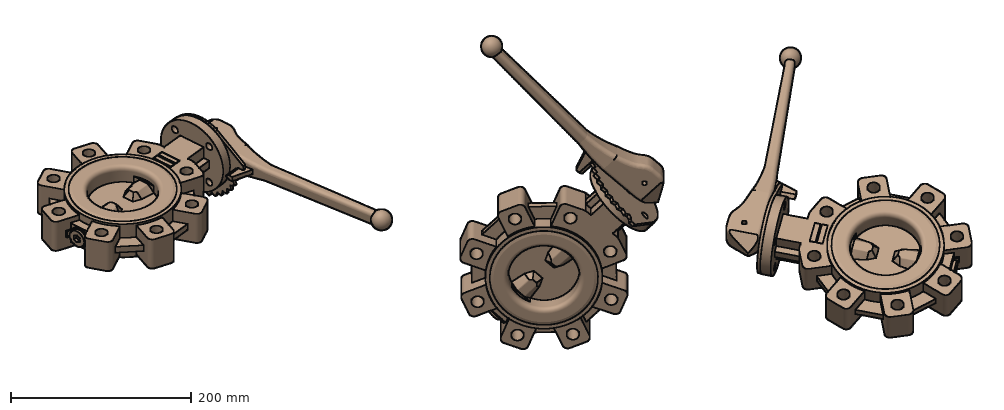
import cadquery as cq
import math


lug_count = 8
lug_angle = 360 / lug_count
bolt_circle_radius = 80.25
bolt_hole_diameter = 14.0
lug_height = 40.5
lug_half_width = 16.25
lug_outer_distance = 95.32
lug_corner_radius = 6.0
web_flat_distance = 80.5
web_height = 8.2
collar_diameter = 130
collar_height = 46.2
seat_base_diameter = 120.0
seat_top_diameter = 112.0
seat_height = 48.5
seat_bevel = 1.0
bore_diameter = 79.0
bore_mouth_diameter = 90.0

disc_height = 7.5
hub_crest_height = 12.0
hub_crest_half_width = 5.8
hub_root_half_width = 14.7
hub_shoulder_half_width = 11.5
hub_nose_half_width = 7
hub_crest_nose_half_width = 3.0
hub_root_nose = 9.2
hub_root_shoulder = 18.8
hub_crest_nose = 14.7
hub_crest_shoulder = 17.8
hub_crest_fillet = 2.0
bore_pad_distance = 36.8
bore_pad_height = 26.0

neck_width = 49.5
neck_core_width = 34.0
neck_wing_height = 10.3
neck_block_end = 92.8
label_bar_width = 25.3
label_bar_length = 6.5
label_bar_raise = 0.7
label_bar_starts = (68.8, 77.0)
flange_diameter = 90.0
flange_start = 120.5
flange_end = 132.5
flange_bolt_circle = 69.8
flange_hole_diameter = 9.0

plate_end = 136.2
plate_diameter = 89
sector_axis_angle = -45
notch_count = 10
notch_pitch = 10
notch_root_radius = 52.5
notch_tip_radius = 56.8
shoulder_x = 56.0
shoulder_z = 3.25
sector_end_x = 63.85
sector_end_z = 9.2
side_tangent_angle = 98.5

plug_block_width = 26.0
plug_block_end = 75.0
plug_collar_diameter = 24
plug_collar_length = 1.0
plug_diameter = 21.0
plug_end = 79.7
socket_corner_diameter = 10.0
socket_depth = 4.0

stem_diameter = 9.0
lever_underside = 139.3
lever_crown = 179.85
lever_half_thickness = 14.0
grip_half_thickness = 8.73
lever_tip_x = -32.2
lever_tip_y = 149.2
lever_tip_half_thickness = 3.0
nose_root_x = -12.5
grip_start_x = 85.0
grip_start_top = 157.5
grip_start_bottom = 142.7
grip_end_x = 231.0
grip_end_top = 167.5
grip_end_bottom = 156.5
lever_edge_fillet = 4.5
nose_top_x = -17
nose_top_y = 173.5
crown_start_x = -5.8
crown_end_x = 4.5
hump_x = 21.0
hump_y = 172.5
head_end_x = 45.2
head_end_top = 163.5
head_end_direction = (1, -0.3)
underside_start_x = -4.5
throat_x = 63.5
throat_top = 159.5
throat_bottom = 140.0
throat_half_thickness = 11.3
lever_hole_diameter = 5.0
lever_hole_y = 161
ball_diameter = 24
ball_x = 237.7
ball_y = 163.3

latch_nose_x = notch_root_radius
latch_shoulder_x = 57.0
latch_half_width = 3.0
latch_foot_y = 115.7
latch_foot_x = 62.0
latch_root_x = 72.5
latch_root_y = 145.5



def flow_cylinder(diameter, height):
    """Cylinder on the flow axis, centred on the mid plane."""
    return cq.Workplane("XY").circle(diameter / 2).extrude(height / 2, both=True)


def stem_cylinder(diameter, start_y, end_y):
    """Cylinder on the stem axis between two Y positions."""
    return stem_plane(start_y).circle(diameter / 2).extrude(start_y - end_y)


def stem_plane(y):
    """Plane across the stem axis: local x is X, local y is Z, normal is -Y."""
    return cq.Workplane("XZ", origin=(0, y, 0))


def block(width, start_y, end_y, height):
    """Box centred on X and Z between two Y positions."""
    return cq.Workplane("XY").box(width, end_y - start_y, height).translate((0, (start_y + end_y) / 2, 0))


def polar(radius, degrees):
    angle = math.radians(degrees)
    return radius * math.cos(angle), radius * math.sin(angle)




def make_lugs():
    lug = (
        cq.Workplane("XY")
        .rect(2 * lug_outer_distance, 2 * lug_half_width)
        .extrude(lug_height / 2, both=True)
        .edges("|Z")
        .fillet(lug_corner_radius)
        .intersect(block(2 * lug_outer_distance, -lug_half_width, lug_half_width, lug_height)
                   .translate((lug_outer_distance, 0, 0)))
    )
    lugs = cq.Workplane("XY")
    for index in range(lug_count):
        lugs = lugs.union(lug.rotate((0, 0, 0), (0, 0, 1), (index + 0.5) * lug_angle))
    return lugs


def make_web():
    corner_diameter = 2 * web_flat_distance / math.cos(math.pi / lug_count)
    web = cq.Workplane("XY").polygon(lug_count, corner_diameter).extrude(web_height / 2, both=True)
    web = web.rotate((0, 0, 0), (0, 0, 1), lug_angle / 2)
    return web.cut(block(plug_block_width, -web_flat_distance, -plug_block_end, web_height))


def make_neck():
    neck = block(neck_core_width, 0, flange_start, lug_height)
    neck = neck.union(block(neck_width, 0, flange_start, neck_wing_height))
    neck = neck.union(block(neck_width, 0, neck_block_end, lug_height))
    for start in label_bar_starts:
        bar = block(label_bar_width, start, start + label_bar_length, label_bar_raise)
        neck = neck.union(bar.translate((0, 0, (lug_height + label_bar_raise) / 2)))
    return neck


def make_flange():
    hole_offset = flange_bolt_circle / 2 / math.sqrt(2)
    holes = (
        stem_plane(flange_end)
        .rect(2 * hole_offset, 2 * hole_offset, forConstruction=True)
        .vertices()
        .circle(flange_hole_diameter / 2)
        .extrude(flange_end - flange_start)
    )
    return stem_cylinder(flange_diameter, flange_start, flange_end).cut(holes)


def make_notch_plate():
    """Toothed sector, symmetric about its own axis, with tangent sides onto a round back."""
    plate_radius = plate_diameter / 2
    upper_tangent = polar(plate_radius, sector_axis_angle + side_tangent_angle)
    lower_tangent = polar(plate_radius, sector_axis_angle - side_tangent_angle)
    arc_middle = polar(plate_radius, sector_axis_angle + 180)

    notches = []
    for index in range(notch_count):
        root_angle = -index * notch_pitch
        notches.append(polar(notch_root_radius, root_angle))
        if index < notch_count - 1:
            notches.append(polar(notch_tip_radius, root_angle - notch_pitch / 2))

    upper_end = [(sector_end_x, sector_end_z), (sector_end_x, shoulder_z), (shoulder_x, shoulder_z)]
    lower_end = [(-z, -x) for x, z in reversed(upper_end)]
    plate = stem_plane(plate_end).moveTo(*upper_tangent)
    for point in upper_end + notches + lower_end + [lower_tangent]:
        plate = plate.lineTo(*point)
    plate = plate.threePointArc(arc_middle, upper_tangent).close().extrude(plate_end - flange_end)

    hole_angles = (sector_axis_angle + 90, sector_axis_angle - 90)
    hole_centres = [polar(flange_bolt_circle / 2, angle) for angle in hole_angles]
    holes = (
        stem_plane(plate_end)
        .pushPoints(hole_centres)
        .circle(flange_hole_diameter / 2)
        .extrude(plate_end - flange_end)
    )
    return plate.cut(holes)


def make_plug():
    plug = block(plug_block_width, -plug_block_end, 0, plug_block_width)
    collar_end = plug_block_end + plug_collar_length
    plug = plug.union(stem_cylinder(plug_collar_diameter, -collar_end, 0))
    plug = plug.union(stem_cylinder(plug_diameter, -plug_end, 0))
    socket = stem_plane(-plug_end).polygon(6, socket_corner_diameter).extrude(-socket_depth)
    return plug.cut(socket.rotate((0, 0, 0), (0, 1, 0), 90))


def make_seat():
    """Collar with the bevelled seat ring standing out of both faces."""
    ring = flow_cylinder(seat_base_diameter, seat_height)
    bevel_width = (seat_base_diameter - seat_top_diameter) / 2
    ring = ring.faces(">Z or <Z").chamfer(seat_bevel, bevel_width)
    return flow_cylinder(collar_diameter, collar_height).union(ring)


def make_bore():
    """Bore cutter with rounded mouths, flattened where the stem bosses stand."""
    mouth_radius = (bore_mouth_diameter - bore_diameter) / 2
    half = seat_height / 2
    bore_radius = bore_diameter / 2
    mouth_x = bore_mouth_diameter / 2
    arc_shift = mouth_radius * (1 - math.sqrt(0.5))
    bore = (
        cq.Workplane("XZ")
        .moveTo(0, -half)
        .lineTo(mouth_x, -half)
        .threePointArc((bore_radius + arc_shift, -half + arc_shift), (bore_radius, -half + mouth_radius))
        .lineTo(bore_radius, half - mouth_radius)
        .threePointArc((bore_radius + arc_shift, half - arc_shift), (mouth_x, half))
        .lineTo(0, half)
        .close()
        .revolve(360, (0, 0, 0), (0, 1, 0))
    )
    for side in (1, -1):
        pad = block(bore_diameter, bore_pad_distance, bore_diameter, bore_pad_height)
        bore = bore.cut(pad.rotate((0, 0, 0), (0, 0, 1), 90 - 90 * side))
    return bore


def make_hub():
    """Half of one disc hub: a tapered rib from the disc face up to its crest."""
    root = [(hub_root_half_width, bore_pad_distance), (hub_shoulder_half_width, hub_root_shoulder),
            (hub_nose_half_width, hub_root_nose)]
    crest = [(hub_crest_half_width, bore_pad_distance), (hub_crest_half_width, hub_crest_shoulder),
             (hub_crest_nose_half_width, hub_crest_nose)]
    root_outline = root + [(-x, y) for x, y in reversed(root)]
    crest_outline = crest + [(-x, y) for x, y in reversed(crest)]
    rise = hub_crest_height - disc_height / 2
    hub = (
        cq.Workplane("XY")
        .workplane(offset=disc_height / 2)
        .polyline(root_outline)
        .close()
        .workplane(offset=rise)
        .polyline(crest_outline)
        .close()
        .loft(ruled=True, combine=True)
    )
    return hub.faces(">Z").edges("|Y").fillet(hub_crest_fillet)


def make_disc():
    disc = flow_cylinder(bore_mouth_diameter, disc_height)
    hub = make_hub()
    for half_turn in (0, 180):
        upper_hub = hub.rotate((0, 0, 0), (0, 0, 1), half_turn)
        disc = disc.union(upper_hub).union(upper_hub.mirror("XY"))
    return disc


def make_housing():
    body = make_lugs().union(make_web()).union(make_neck()).union(make_plug()).union(make_seat())
    bolt_holes = (
        cq.Workplane("XY")
        .polarArray(bolt_circle_radius, lug_angle / 2, 360, lug_count)
        .circle(bolt_hole_diameter / 2)
        .extrude(lug_height / 2, both=True)
    )
    waterway = make_bore().cut(make_disc())
    body = body.cut(bolt_holes).cut(waterway)
    return body.union(make_flange()).union(make_notch_plate())




def make_head():
    """Humped head of the lever, wedge-shaped at the nose, with rounded edges on both sides."""
    head = (
        cq.Workplane("XY")
        .workplane(offset=-lever_half_thickness)
        .moveTo(lever_tip_x, lever_tip_y)
        .lineTo(nose_top_x, nose_top_y)
        .tangentArcPoint((crown_start_x, lever_crown), relative=False)
        .lineTo(crown_end_x, lever_crown)
        .spline([(hump_x, hump_y), (head_end_x, head_end_top)], tangents=[(1, 0), head_end_direction],
                includeCurrent=True)
        .lineTo(head_end_x, lever_underside)
        .lineTo(underside_start_x, lever_underside)
        .tangentArcPoint((lever_tip_x, lever_tip_y), relative=False)
        .close()
        .extrude(2 * lever_half_thickness)
        .faces("<Z or >Z")
        .edges("not >X")
        .fillet(lever_edge_fillet)
    )
    half_outline = [(lever_tip_x, lever_tip_half_thickness), (nose_root_x, lever_half_thickness),
                    (head_end_x, lever_half_thickness)]
    wedge = (
        stem_plane(lever_crown + lever_half_thickness)
        .polyline(half_outline + [(x, -z) for x, z in reversed(half_outline)])
        .close()
        .extrude(lever_crown)
    )
    return head.intersect(wedge)


def tail_section(x, bottom, top, half_thickness):
    """Rounded rectangle across the arm at one X position."""
    return (
        cq.Sketch()
        .rect(top - bottom, 2 * half_thickness)
        .vertices()
        .fillet(lever_edge_fillet)
        .moved(cq.Location(cq.Plane(origin=(x, (top + bottom) / 2, 0), xDir=(0, 1, 0), normal=(1, 0, 0))))
    )


def make_tail():
    """Arm narrowing from the head to the grip in a smooth sweep, then the straight tapering grip."""
    head_end = tail_section(head_end_x, lever_underside, head_end_top, lever_half_thickness)
    throat = tail_section(throat_x, throat_bottom, throat_top, throat_half_thickness)
    grip_start = tail_section(grip_start_x, grip_start_bottom, grip_start_top, grip_half_thickness)
    grip_end = tail_section(grip_end_x, grip_end_bottom, grip_end_top, grip_half_thickness)
    sweep = cq.Workplane("XY").placeSketch(head_end, throat, grip_start).loft()
    return sweep.union(cq.Workplane("XY").placeSketch(grip_start, grip_end).loft(ruled=True))


def make_latch():
    """Wedge-nosed finger that drops into the end notch of the plate."""
    side = (
        cq.Workplane("XY")
        .workplane(offset=-latch_half_width)
        .polyline([(latch_nose_x, latch_foot_y), (latch_foot_x, latch_foot_y),
                   (latch_root_x, latch_root_y), (latch_nose_x, latch_root_y)])
        .close()
        .extrude(2 * latch_half_width)
    )
    wedge = (
        stem_plane(latch_root_y)
        .polyline([(latch_nose_x, 0), (latch_shoulder_x, latch_half_width),
                   (latch_root_x, latch_half_width), (latch_root_x, -latch_half_width),
                   (latch_shoulder_x, -latch_half_width)])
        .close()
        .extrude(latch_root_y - latch_foot_y)
    )
    return side.intersect(wedge)


def make_lever():
    arm = make_head().union(make_tail())
    pin_hole = (
        cq.Workplane("XY")
        .center(0, lever_hole_y)
        .circle(lever_hole_diameter / 2)
        .extrude(lever_half_thickness, both=True)
    )
    ball = cq.Workplane("XY").sphere(ball_diameter / 2).translate((ball_x, ball_y, 0))
    stem = stem_cylinder(stem_diameter, plate_end, lever_underside + lever_edge_fillet)
    return arm.cut(pin_hole).union(ball).union(stem).union(make_latch())


housing = make_housing()
lever = make_lever()
result = cq.Compound.makeCompound([housing.val(), lever.val()])